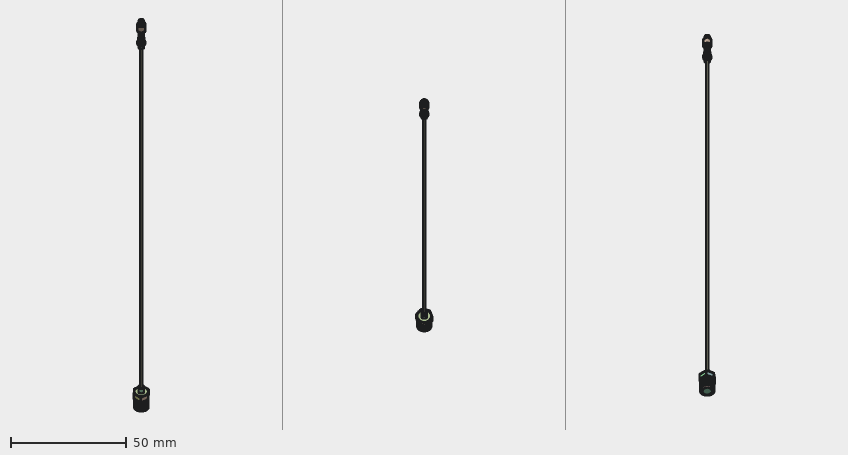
import cadquery as cq
import math

total_length = 225.54
cable_radius = 0.55

thread_diameter = 6.35
thread_radius = thread_diameter / 2
thread_pitch = 25.4 / 36
thread_depth = 0.4
thread_turns = 5
end_radius = 2.1
end_chamfer_height = 0.65
thread_top = end_chamfer_height + thread_turns * thread_pitch
relief_radius = 2.7
collar_radius = 3.0
collar_bottom = 5.7
hex_bottom = 6.25
hex_top = 9.45
hex_across_flats = 6.35
hex_corner_radius = 7.2 / 2
hex_face_radius = 3.0
hex_chamfer_angle = math.radians(30)
neck_radius = 1.25
neck_top = 11.9

sleeve_bottom = 210.2
sleeve_radius = 1.25
ribs_bottom = 211.6
rib_radius = 1.25
rib_depth = 0.15
rib_count = 14
flange_thickness = 0.7
lower_flange_bottom = 212.3
lower_flange_radius = 1.75
upper_flange_bottom = 214.3
upper_flange_radius = 1.4
head_bottom = 219.8
head_top = 223.3
head_radius = 1.75
tip_radius = 1.3
tip_neck_radius = 1.0
tip_bead_bottom = head_top + 0.55
tip_bead_top = total_length - 0.9
cable_seat = lower_flange_bottom

insulator_radius = 0.85
insulator_top = total_length - 0.8
pin_radius = 0.25
pin_top = total_length - 0.3


def disc(radius, z_low, z_high):
    return cq.Workplane("XY").workplane(offset=z_low).circle(radius).extrude(z_high - z_low)


def turned(points):
    """Solid of revolution about Z from (radius, z) points."""
    return cq.Workplane("XZ").polyline(points).close().revolve(360, (0, 0), (0, 1))


def make_thread():
    """Thread simplified to closed ring grooves, with a chamfered lower end."""
    root_radius = thread_radius - thread_depth
    points = [(0, 0), (end_radius, 0), (thread_radius, end_chamfer_height)]
    for turn in range(thread_turns):
        groove_start = end_chamfer_height + turn * thread_pitch
        points.append((root_radius, groove_start + thread_pitch / 2))
        points.append((thread_radius, groove_start + thread_pitch))
    points.append((0, thread_top))
    return turned(points)


def make_hex():
    """Hexagon with flats facing X, its corners chamfered at both ends and turned down."""
    chamfer_height = (hex_corner_radius - hex_face_radius) * math.tan(hex_chamfer_angle)
    blank = turned([
        (0, hex_bottom),
        (hex_face_radius, hex_bottom),
        (hex_corner_radius, hex_bottom + chamfer_height),
        (hex_corner_radius, hex_top - chamfer_height),
        (hex_face_radius, hex_top),
        (0, hex_top),
    ])
    prism = (
        cq.Workplane("XY")
        .workplane(offset=hex_bottom)
        .polygon(6, hex_across_flats, circumscribed=True)
        .extrude(hex_top - hex_bottom)
    )
    return prism.intersect(blank)


def make_jack():
    relief = disc(relief_radius, thread_top, collar_bottom)
    collar = disc(collar_radius, collar_bottom, hex_bottom)
    neck = disc(neck_radius, hex_top, neck_top)
    cable_hole = disc(cable_radius, hex_top, neck_top)
    shank = make_thread().union(relief).union(collar)
    return shank.union(make_hex()).union(neck).cut(cable_hole)


def make_ribbed_barrel():
    """Barrel between sleeve and head, covered by V-grooves."""
    rib_pitch = (head_bottom - ribs_bottom) / rib_count
    points = [(0, ribs_bottom), (rib_radius, ribs_bottom)]
    for rib in range(rib_count):
        rib_start = ribs_bottom + rib * rib_pitch
        points.append((rib_radius - rib_depth, rib_start + rib_pitch / 2))
        points.append((rib_radius, rib_start + rib_pitch))
    points.append((0, head_bottom))
    return turned(points)


def make_tip():
    """Mating tip with a raised snap bead between two narrower bands."""
    return turned([
        (0, head_top),
        (tip_neck_radius, head_top),
        (tip_neck_radius, tip_bead_bottom),
        (tip_radius, tip_bead_bottom),
        (tip_radius, tip_bead_top),
        (tip_neck_radius, tip_bead_top),
        (tip_neck_radius, total_length),
        (0, total_length),
    ])


def make_plug():
    plug = disc(sleeve_radius, sleeve_bottom, ribs_bottom).union(make_ribbed_barrel())
    flanges = [
        (lower_flange_radius, lower_flange_bottom),
        (upper_flange_radius, upper_flange_bottom),
    ]
    for radius, bottom in flanges:
        plug = plug.union(disc(radius, bottom, bottom + flange_thickness))
    plug = plug.union(disc(head_radius, head_bottom, head_top)).union(make_tip())
    cable_hole = disc(cable_radius, sleeve_bottom, cable_seat)
    socket = disc(insulator_radius, head_top, total_length)
    return plug.cut(cable_hole).cut(socket)


def make_cable():
    return disc(cable_radius, hex_top, cable_seat)


def make_insulator():
    pin_hole = disc(pin_radius, head_top, insulator_top)
    return disc(insulator_radius, head_top, insulator_top).cut(pin_hole)


def make_pin():
    return disc(pin_radius, head_top, pin_top)


jack = make_jack()
cable = make_cable()
plug = make_plug()
insulator = make_insulator()
pin = make_pin()

result = cq.Compound.makeCompound([jack.val(), cable.val(), plug.val(), insulator.val(), pin.val()])